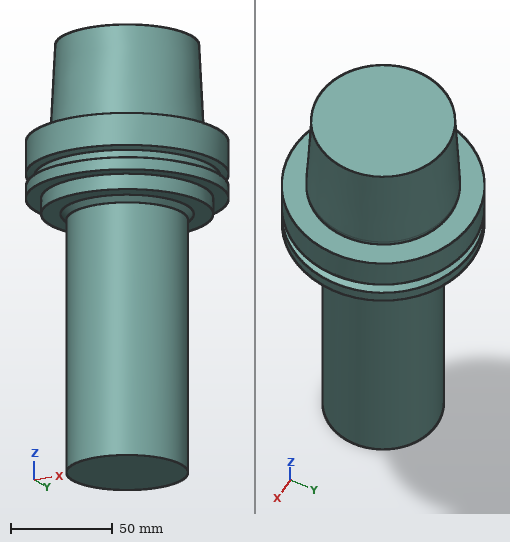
import cadquery as cq

total_length = 220.0
shank_diameter = 60.0
flange_diameter = 100.0

shank_top = 130.0
collar_bottom = 133.0
flange_bottom = 141.0
groove_bottom = 148.5
groove_top = 152.2
flange_top = 170.0
taper_bottom = 172.0

chamfer_top_diameter = 65.8
collar_diameter = 85.0
groove_diameter = 92.0
taper_base_diameter = 76.0
taper_tip_diameter = 71.0

groove_wall_height = 1.3

shank_radius = shank_diameter / 2
chamfer_top_radius = chamfer_top_diameter / 2
collar_radius = collar_diameter / 2
flange_radius = flange_diameter / 2
groove_radius = groove_diameter / 2
taper_base_radius = taper_base_diameter / 2
taper_tip_radius = taper_tip_diameter / 2

profile = (
    cq.Workplane("XZ")
    .lineTo(shank_radius, 0)
    .lineTo(shank_radius, shank_top)
    .lineTo(chamfer_top_radius, collar_bottom)
    .lineTo(collar_radius, collar_bottom)
    .lineTo(collar_radius, flange_bottom)
    .lineTo(flange_radius, flange_bottom)
    .lineTo(flange_radius, groove_bottom - groove_wall_height)
    .lineTo(groove_radius, groove_bottom)
    .lineTo(groove_radius, groove_top)
    .lineTo(flange_radius, groove_top + groove_wall_height)
    .lineTo(flange_radius, flange_top)
    .lineTo(taper_base_radius, flange_top)
    .lineTo(taper_base_radius, taper_bottom)
    .lineTo(taper_tip_radius, total_length)
    .lineTo(0, total_length)
    .close()
)

result = profile.revolve(360, (0, 0), (0, 1))